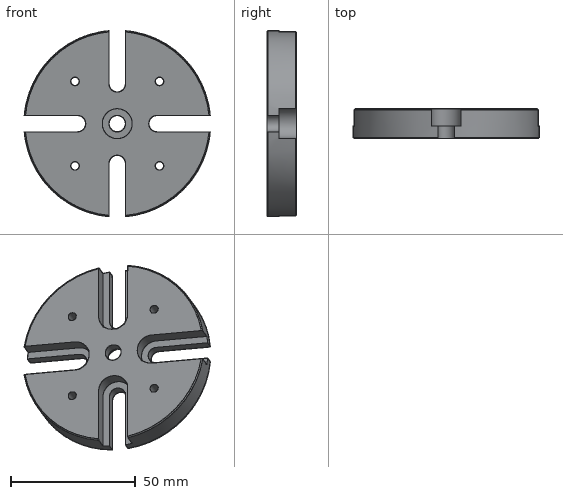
import cadquery as cq
import math

overall_size = 74.7
thickness = 12.0
edge_chamfer = 0.5

slot_width = 6.5
wide_slot_width = 12.0
wide_slot_depth = 7.0
slot_center_radius = 16.0
slot_count = 4

bore_diameter = slot_width
counterbore_diameter = 12.0
counterbore_depth = 7.0
small_hole_diameter = 3.3
small_hole_spacing = 33.9

disc_radius = math.hypot(overall_size / 2, slot_width / 2)


def cylinder(diameter, start_y, length, points=((0, 0),)):
    """Cylinders running along +Y from start_y, at the given (x, z) points."""
    plane = cq.Plane(origin=(0, start_y, 0), xDir=(-1, 0, 0), normal=(0, 1, 0))
    mirrored = [(-x, z) for x, z in points]
    return cq.Workplane(plane).pushPoints(mirrored).circle(diameter / 2).extrude(length)


def radial_slot(width, start_y, depth, angle):
    """Round-ended slot running outward past the rim, turned about the Y axis."""
    length = disc_radius
    channel = cq.Workplane("XY").box(length, depth, width, centered=(False, False, True))
    channel = channel.translate((slot_center_radius, start_y, 0))
    end = cylinder(width, start_y, depth, [(slot_center_radius, 0)])
    return channel.union(end).rotate((0, 0, 0), (0, 1, 0), angle)


result = cylinder(2 * disc_radius, 0, thickness).edges("%CIRCLE").chamfer(edge_chamfer)

for index in range(slot_count):
    angle = index * 360 / slot_count
    result = result.cut(radial_slot(slot_width, 0, thickness, angle))
    result = result.cut(radial_slot(wide_slot_width, thickness - wide_slot_depth, wide_slot_depth, angle))

result = result.cut(cylinder(bore_diameter, 0, thickness))
result = result.cut(cylinder(counterbore_diameter, 0, counterbore_depth))

half_spacing = small_hole_spacing / 2
corners = [(x, z) for x in (-half_spacing, half_spacing) for z in (-half_spacing, half_spacing)]
result = result.cut(cylinder(small_hole_diameter, 0, thickness, corners))